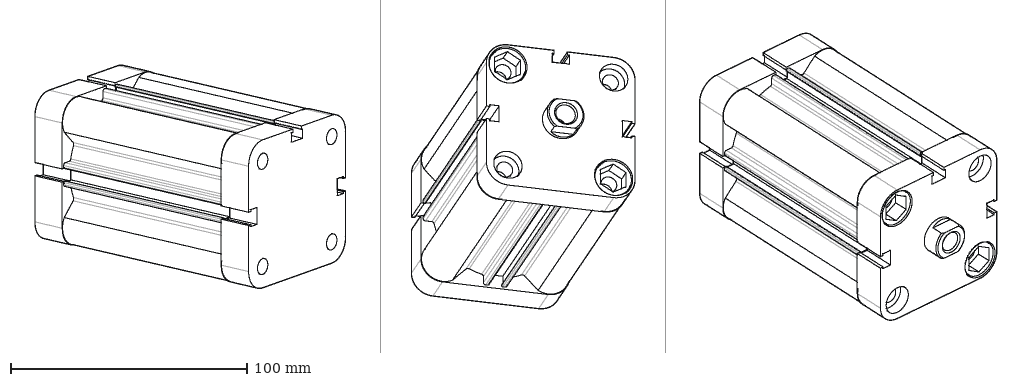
import cadquery as cq
import math


TOTAL_LENGTH = 124.5
ROD_REACH = 8.1
CAP_LENGTH = 15.0
BARREL_LENGTH = TOTAL_LENGTH - ROD_REACH - 2 * CAP_LENGTH
REAR_CAP_START = CAP_LENGTH + BARREL_LENGTH

CORNER_OFFSET = 23.3
CORNERS = [(sy * CORNER_OFFSET, sz * CORNER_OFFSET) for sy in (-1, 1) for sz in (-1, 1)]
PLAIN_CORNERS = [(y, z) for y, z in CORNERS if y * z < 0]
SCREW_CORNERS = [(y, z) for y, z in CORNERS if y * z > 0]
THREAD_DIAMETER = 7.0
COUNTERBORE_DIAMETER = 12.5
COUNTERBORE_DEPTH = 5.0

SOCKET_ACROSS_FLATS = 11.3
SOCKET_DEPTH = 7.5
RING_OUTER_DIAMETER = 16.8
RING_WIDTH = 0.4
RING_DEPTH = 2.5
HEAD_RECESS = 0.7

CAP_SIDE = 65.5
CAP_CORNER_RADIUS = CAP_SIDE / 2 - CORNER_OFFSET
CAP_SLOT_MOUTH = 5.9
CAP_SLOT_LIP = 1.5
CAP_SLOT_WIDTH = 7.5
CAP_SLOT_DEPTH = 5.6

BARREL_SIDE = 65.0
CORE_RADIUS = 27.6
LOBE_RADIUS = BARREL_SIDE / 2 - CORNER_OFFSET
LOBE_WIDTH = 17.7
LOBE_FILLET = 1.2
RAIL_WIDTH = 10.5
RAIL_TOP = 31.7
RAIL_EDGE_FILLET = 1.0
RAIL_ROOT_FILLET = 1.0
BARREL_SLOT_MOUTH = 5.6
BARREL_SLOT_MOUTH_FILLET = 0.5
BARREL_SLOT_LIP = 0.9
BARREL_SLOT_WIDTH = 6.6
BARREL_SLOT_FLOOR = 26.8

ROD_DIAMETER = 16.2
ROD_CHAMFER = 0.6
ROD_ACROSS_FLATS = 12.8
FLAT_LENGTH = 6.1
SHOULDER_SLOPE = 0.44
ROD_HOLE_DIAMETER = 8.6
ROD_HOLE_DEPTH = 15.0
ROD_HOLE_CHAMFER = 0.7
DRILL_POINT_ANGLE = 118.0

BARREL_SIDES = (0, 90, 180, 270)
CAP_SLOT_SIDES = (0, 90, 270)
NEAR = 0.01


def section_at(x):
    """YZ workplane at x, with local axes Y and Z; extrusions run towards +X."""
    return cq.Workplane("YZ", origin=(x, 0, 0))


def around_axis(shape, angles):
    """Copies of a shape turned about the X axis by each of the angles, joined into one."""
    copies = [shape.rotate((0, 0, 0), (1, 0, 0), angle) for angle in angles]
    joined = copies[0]
    for copy in copies[1:]:
        joined = joined.union(copy)
    return joined


def bar(x, length, width, bottom, top):
    """Bar along X that lies between two heights, centred on the XZ plane."""
    return section_at(x).center(0, (bottom + top) / 2).rect(width, top - bottom).extrude(length)


def drilled(body, x, length):
    """Run the four corner holes through a body."""
    return body.cut(section_at(x).pushPoints(CORNERS).circle(THREAD_DIAMETER / 2).extrude(length))


def make_cap(x):
    """Square cap with rounded corners, T-slots in three of its sides and corner holes."""
    cap = section_at(x).rect(CAP_SIDE, CAP_SIDE).extrude(CAP_LENGTH)
    cap = cap.edges("|X").fillet(CAP_CORNER_RADIUS)
    top = CAP_SIDE / 2
    mouth = bar(x, CAP_LENGTH, CAP_SLOT_MOUTH, top - CAP_SLOT_DEPTH, top)
    undercut = bar(x, CAP_LENGTH, CAP_SLOT_WIDTH, top - CAP_SLOT_DEPTH, top - CAP_SLOT_LIP)
    cap = cap.cut(around_axis(mouth.union(undercut), CAP_SLOT_SIDES))
    return drilled(cap, x, CAP_LENGTH)


def make_front_cap():
    """Cap with the rod bore, two counterbores and two hexagon sockets in ring grooves."""
    cap = make_cap(0)
    face = section_at(0)
    rod_bore = face.circle(ROD_DIAMETER / 2).extrude(CAP_LENGTH)
    counterbores = face.pushPoints(PLAIN_CORNERS).circle(COUNTERBORE_DIAMETER / 2).extrude(COUNTERBORE_DEPTH)
    ring_radius = RING_OUTER_DIAMETER / 2
    ring_outside = face.pushPoints(SCREW_CORNERS).circle(ring_radius).extrude(RING_DEPTH)
    heads = section_at(HEAD_RECESS).pushPoints(SCREW_CORNERS)
    heads = heads.circle(ring_radius - RING_WIDTH).extrude(RING_DEPTH - HEAD_RECESS)
    cap = cap.cut(rod_bore).cut(counterbores).cut(ring_outside.cut(heads))
    socket_diameter = SOCKET_ACROSS_FLATS / math.cos(math.radians(30))
    for y, z in SCREW_CORNERS:
        socket = cq.Workplane("YZ").polygon(6, socket_diameter).extrude(SOCKET_DEPTH)
        socket = socket.rotate((0, 0, 0), (1, 0, 0), 30).translate((0, y, z))
        cap = cap.cut(socket)
    return cap


def fillet_at(body, radius, near, far):
    """Fillet every edge along X that lies at (near, far) from the XY and XZ planes, in either order."""

    def in_place(edge):
        centre = edge.Center()
        small, large = sorted((abs(centre.y), abs(centre.z)))
        return abs(small - near) < NEAR and abs(large - far) < NEAR

    return body.newObject([edge for edge in body.edges("|X").vals() if in_place(edge)]).fillet(radius)


def make_barrel():
    """Round core with a flat-sided lobe at each corner and a slotted rail on each side."""
    core = section_at(CAP_LENGTH).circle(CORE_RADIUS).extrude(BARREL_LENGTH)
    lobe_distance = CORNER_OFFSET * math.sqrt(2)
    tip = lobe_distance + LOBE_RADIUS
    lobe_end = section_at(CAP_LENGTH).center(0, lobe_distance).circle(LOBE_RADIUS).extrude(BARREL_LENGTH)
    lobe = lobe_end.intersect(bar(CAP_LENGTH, BARREL_LENGTH, LOBE_WIDTH, 0, tip))
    lobe = lobe.union(bar(CAP_LENGTH, BARREL_LENGTH, LOBE_WIDTH, 0, lobe_distance))
    lobes = around_axis(lobe.rotate((0, 0, 0), (1, 0, 0), 45), BARREL_SIDES)
    rails = around_axis(bar(CAP_LENGTH, BARREL_LENGTH, RAIL_WIDTH, 0, RAIL_TOP), BARREL_SIDES)
    barrel = core.union(lobes).union(rails)

    half_rail = RAIL_WIDTH / 2
    rail_root = math.sqrt(CORE_RADIUS**2 - half_rail**2)
    across = LOBE_WIDTH / 2
    along = math.sqrt(CORE_RADIUS**2 - across**2)
    lobe_near = (along - across) / math.sqrt(2)
    lobe_far = (along + across) / math.sqrt(2)
    barrel = fillet_at(barrel, LOBE_FILLET, lobe_near, lobe_far)
    barrel = fillet_at(barrel, RAIL_ROOT_FILLET, half_rail, rail_root)
    barrel = fillet_at(barrel, RAIL_EDGE_FILLET, half_rail, RAIL_TOP)

    mouth = bar(CAP_LENGTH, BARREL_LENGTH, BARREL_SLOT_MOUTH, BARREL_SLOT_FLOOR, RAIL_TOP)
    undercut = bar(CAP_LENGTH, BARREL_LENGTH, BARREL_SLOT_WIDTH, BARREL_SLOT_FLOOR, RAIL_TOP - BARREL_SLOT_LIP)
    barrel = barrel.cut(around_axis(mouth.union(undercut), BARREL_SIDES))
    barrel = fillet_at(barrel, BARREL_SLOT_MOUTH_FILLET, BARREL_SLOT_MOUTH / 2, RAIL_TOP)
    return drilled(barrel, CAP_LENGTH, BARREL_LENGTH)


def make_rod():
    """Rod with two wrench flats and a blind, drill-pointed hole in its end."""
    tip = -ROD_REACH
    shoulder = tip + FLAT_LENGTH
    radius = ROD_DIAMETER / 2
    rod = section_at(tip).circle(radius).extrude(ROD_REACH + CAP_LENGTH)
    rod = rod.faces("<X").chamfer(ROD_CHAMFER)
    for side in (-1, 1):
        flat = (
            cq.Workplane("XZ")
            .moveTo(tip, side * ROD_ACROSS_FLATS / 2)
            .lineTo(shoulder, side * ROD_ACROSS_FLATS / 2)
            .lineTo(shoulder + SHOULDER_SLOPE, side * radius)
            .lineTo(tip, side * radius)
            .close()
            .extrude(radius, both=True)
        )
        rod = rod.cut(flat)

    hole_radius = ROD_HOLE_DIAMETER / 2
    point_length = hole_radius / math.tan(math.radians(DRILL_POINT_ANGLE / 2))
    hole = (
        cq.Workplane("XY")
        .moveTo(tip, 0)
        .lineTo(tip, hole_radius + ROD_HOLE_CHAMFER)
        .lineTo(tip + ROD_HOLE_CHAMFER, hole_radius)
        .lineTo(tip + ROD_HOLE_DEPTH, hole_radius)
        .lineTo(tip + ROD_HOLE_DEPTH + point_length, 0)
        .close()
        .revolve(360, (0, 0, 0), (1, 0, 0))
    )
    return rod.cut(hole)


front_cap = make_front_cap()
barrel = make_barrel()
rear_cap = make_cap(REAR_CAP_START)
rod = make_rod()

result = cq.Compound.makeCompound([front_cap.val(), barrel.val(), rear_cap.val(), rod.val()])